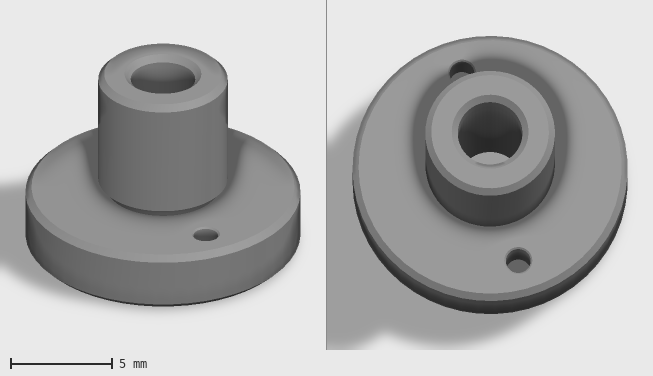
import cadquery as cq

flange_diameter = 13.6
flange_height = 3.0
edge_chamfer = 0.3

total_height = 9.5
hub_diameter = 6.4
neck_diameter = 5.6
neck_height = 0.5
bore_diameter = 3.2

pin_hole_diameter = 1.22
pin_hole_chamfer = 0.08
pin_hole_depth = 2.0
pin_hole_offset = 5.0

hub_base = flange_height + neck_height
hub_height = total_height - hub_base


def cylinder(diameter, height, base):
    return cq.Workplane("XY").workplane(offset=base).circle(diameter / 2).extrude(height)


def countersunk_cutter(diameter, depth, chamfer, top):
    """Cylinder reaching down from top, flared by a 45 degree chamfer at its mouth."""
    radius = diameter / 2
    profile = [
        (0, top - depth),
        (radius, top - depth),
        (radius, top - chamfer),
        (radius + chamfer, top),
        (0, top),
    ]
    return cq.Workplane("XZ").polyline(profile).close().revolve(360, (0, 0), (0, 1))


flange = cylinder(flange_diameter, flange_height, 0).edges().chamfer(edge_chamfer)
neck = cylinder(neck_diameter, neck_height, flange_height)
hub = cylinder(hub_diameter, hub_height, hub_base).edges(">Z").chamfer(edge_chamfer)
bore = countersunk_cutter(bore_diameter, total_height, edge_chamfer, total_height)

result = flange.union(neck).union(hub).cut(bore)

pin_hole = countersunk_cutter(pin_hole_diameter, pin_hole_depth, pin_hole_chamfer, flange_height)
for side in (-1, 1):
    result = result.cut(pin_hole.translate((side * pin_hole_offset, 0, 0)))